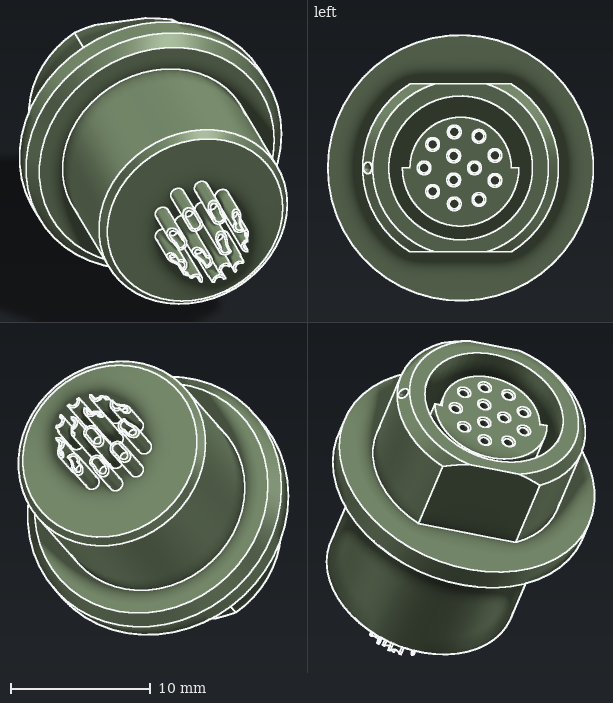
import cadquery as cq
import math

flange_front = 7.0
flange_back = 9.48
body_back = 19.45
short_pin_end = 24.18
long_pin_end = 25.7

body_radius = 14.0 / 2
flange_radius = 19.0 / 2
across_flats = 12.0
nose_chamfer = 0.72
flange_chamfer = 0.77
back_chamfer = 0.5
dot_radius = 0.4

socket_radius = 5.15
socket_depth = flange_front
insert_radius = 3.62
key_radius = 4.16
insert_recess = 0.8

outer_count = 9
outer_ring_radius = 5.22 / 2
inner_count = 3
inner_ring_radius = 1.98 / 2
first_inner_angle = 180.0
contact_hole_radius = 0.35
contact_hole_depth = 2.57
contact_hole_chamfer = 0.13

pin_radius = 1.0 / 2
cup_bore_radius = 0.33
cup_length = 1.75
cup_bore_depth = 1.93
cup_floor_drop = 0.05
cup_arc_radius = 1.55


def disc(radius, start, end):
    """Cylinder on the X axis between two stations."""
    return cq.Workplane("YZ").workplane(offset=start).circle(radius).extrude(end - start)


def make_shell():
    nose = disc(body_radius, 0, flange_front).faces("<X").chamfer(nose_chamfer)
    flats = cq.Workplane("XY").box(2 * flange_front, 2 * body_radius, across_flats)
    flange = disc(flange_radius, flange_front, flange_back).faces(">X").chamfer(flange_chamfer)
    body = disc(body_radius, flange_back, body_back).faces(">X").chamfer(back_chamfer)
    return nose.intersect(flats).union(flange).union(body)


def make_alignment_dot():
    """Ball that leaves a round dimple in the nose chamfer, on the +Y side."""
    middle_of_chamfer = nose_chamfer / 2
    center = (middle_of_chamfer, body_radius - middle_of_chamfer, 0)
    return cq.Workplane("XY").sphere(dot_radius).translate(center)


def make_insert():
    """Round insulator with a half-ring key around its lower side."""
    key = disc(key_radius, insert_recess, socket_depth)
    lower_half = cq.Workplane("XY").box(
        2 * socket_depth, 2 * key_radius, key_radius, centered=(True, True, False)
    ).translate((0, 0, -key_radius))
    return disc(insert_radius, insert_recess, socket_depth).union(key.intersect(lower_half))


def make_contact_hole():
    """Chamfered contact hole on the X axis, opening at the insert face."""
    mouth_radius = contact_hole_radius + contact_hole_chamfer
    return (
        cq.Workplane("XY")
        .moveTo(insert_recess, 0)
        .lineTo(insert_recess, mouth_radius)
        .lineTo(insert_recess + contact_hole_chamfer, contact_hole_radius)
        .lineTo(insert_recess + contact_hole_depth, contact_hole_radius)
        .lineTo(insert_recess + contact_hole_depth, 0)
        .close()
        .revolve(360, (0, 0, 0), (1, 0, 0))
    )


def make_pin(end):
    """Pin on the X axis whose solder cup opens toward +Y."""
    pin = disc(pin_radius, body_back, end)
    bore = disc(cup_bore_radius, end - cup_bore_depth, end)
    cup_start = end - cup_length
    arc_drop = pin_radius + cup_floor_drop
    arc_run = math.sqrt(cup_arc_radius**2 - (cup_arc_radius - arc_drop) ** 2)
    cutaway = (
        cq.Workplane("XY")
        .moveTo(cup_start, pin_radius)
        .radiusArc((cup_start + arc_run, -cup_floor_drop), -cup_arc_radius)
        .lineTo(end, -cup_floor_drop)
        .lineTo(end, pin_radius)
        .close()
        .extrude(pin_radius, both=True)
    )
    return pin.cut(bore).cut(cutaway)


def ring_of(shape, count, radius, first_angle):
    """Copies of a shape spread evenly around the X axis, with +Y turned outward."""
    return [
        shape.translate((0, radius, 0)).rotate((0, 0, 0), (1, 0, 0), first_angle + i * 360 / count)
        for i in range(count)
    ]


def outer_ring(shape):
    return ring_of(shape, outer_count, outer_ring_radius, 0)


def inner_ring(shape):
    return ring_of(shape, inner_count, inner_ring_radius, first_inner_angle)


result = make_shell().cut(disc(socket_radius, 0, socket_depth)).cut(make_alignment_dot())
result = result.union(make_insert())

contact_hole = make_contact_hole()
for hole in outer_ring(contact_hole) + inner_ring(contact_hole):
    result = result.cut(hole)

for pin in outer_ring(make_pin(short_pin_end)) + inner_ring(make_pin(long_pin_end)):
    result = result.union(pin)